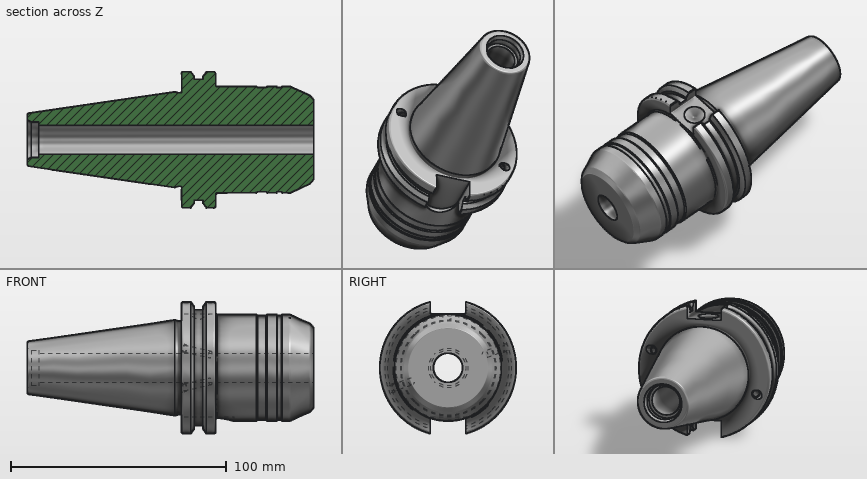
import cadquery as cq
import math

total_length = 132.8

gauge_diameter = 44.5
taper_length = 68.4
taper_ratio = 7 / 24
shank_end_fillet = 1.0
neck_diameter = 43.5
neck_step_length = 1.5
neck_root_fillet = 0.4

flange_diameter = 63.3
flange_start = 71.4
flange_width = 15.9
flange_edge_fillet = 1.0
groove_floor_diameter = 56.2
groove_floor_width = 4.0
groove_mouth_width = 7.2
groove_flank_depth = 2.3

body_diameter = 49.5
band_diameter = 48.5
bands = [(106.1, 111.2, 0.7), (115.5, 118.0, 0.3)]
body_root_fillet = 0.7
nose_start = 121.6
nose_end = 130.9
nose_end_diameter = 41.2
face_diameter = 36.9
nose_fillet = 1.3
face_edge_fillet = 0.5

bore_diameter = 13.4
counterbore_diameter = 16.3
counterbore_depth = 5.3
mouth_diameter = 18.2
mouth_depth = 2.0

slot_width = 16.3
slot_mouth_chamfer = 0.4
top_slot_floor_fillet = 0.4
top_slot_floor = 25.0
bottom_slot_floor = 22.6
bottom_slot_end = 95.6
dimple_diameter = 9.5
dimple_point_angle = 118

coolant_circle_radius = 27.1
coolant_angle = 20
coolant_tilt = 34
coolant_entry_diameter = 4.0
coolant_entry_depth = 1.7
coolant_diameter = 3.2
coolant_depth = 15.9

flange_end = flange_start + flange_width
flange_middle = flange_start + flange_width / 2


def revolve_about_x(points):
    """Solid of revolution about X from (x, radius) points."""
    return cq.Workplane("XY").polyline(points).close().revolve(360, (0, 0, 0), (1, 0, 0))


def circle_at(x):
    """Selector for the circular edges lying in the plane at x."""
    margin = 0.01
    reach = flange_diameter
    return cq.selectors.BoxSelector((x - margin, -reach, -reach), (x + margin, reach, reach))


def make_shank():
    gauge_radius = gauge_diameter / 2
    small_radius = gauge_radius - taper_length * taper_ratio / 2
    neck_radius = neck_diameter / 2
    shank = revolve_about_x([
        (0, 0),
        (0, small_radius),
        (taper_length, gauge_radius),
        (taper_length + neck_step_length, neck_radius),
        (flange_middle, neck_radius),
        (flange_middle, 0),
    ])
    return shank.faces("<X").edges().fillet(shank_end_fillet)


def make_flange():
    radius = flange_diameter / 2
    disc = cq.Workplane("YZ", origin=(flange_start, 0, 0)).circle(radius).extrude(flange_width)
    disc = disc.faces("<X or >X").edges().fillet(flange_edge_fillet)
    flank_radius = radius - groove_flank_depth
    floor_radius = groove_floor_diameter / 2
    half_mouth = groove_mouth_width / 2
    half_floor = groove_floor_width / 2
    outside_radius = radius + groove_flank_depth
    groove = revolve_about_x([
        (flange_middle - half_mouth, outside_radius),
        (flange_middle - half_mouth, radius),
        (flange_middle - half_floor, flank_radius),
        (flange_middle - half_floor, floor_radius),
        (flange_middle + half_floor, floor_radius),
        (flange_middle + half_floor, flank_radius),
        (flange_middle + half_mouth, radius),
        (flange_middle + half_mouth, outside_radius),
    ])
    return disc.cut(groove)


def make_body():
    radius = body_diameter / 2
    band_radius = band_diameter / 2
    root = body_root_fillet
    root_dip = root * (1 - math.sqrt(0.5))
    profile = (
        cq.Workplane("XY")
        .moveTo(flange_middle, 0)
        .lineTo(flange_middle, radius + root)
        .lineTo(flange_end, radius + root)
        .threePointArc((flange_end + root_dip, radius + root_dip), (flange_end + root, radius))
    )
    for start, end, edge_chamfer in bands:
        profile = (
            profile.lineTo(start, radius)
            .lineTo(start + edge_chamfer, band_radius)
            .lineTo(end - edge_chamfer, band_radius)
            .lineTo(end, radius)
        )
    profile = (
        profile.lineTo(nose_start, radius)
        .lineTo(nose_end, nose_end_diameter / 2)
        .lineTo(total_length, face_diameter / 2)
        .lineTo(total_length, 0)
        .close()
    )
    body = profile.revolve(360, (0, 0, 0), (1, 0, 0))
    body = body.edges(circle_at(nose_start)).fillet(nose_fillet)
    body = body.edges(circle_at(nose_end)).fillet(nose_fillet)
    return body.faces(">X").edges().fillet(face_edge_fillet)


def make_bore():
    counterbore_radius = counterbore_diameter / 2
    bore_radius = bore_diameter / 2
    return revolve_about_x([
        (0, 0),
        (0, mouth_diameter / 2),
        (mouth_depth, counterbore_radius),
        (counterbore_depth, counterbore_radius),
        (counterbore_depth, bore_radius),
        (total_length, bore_radius),
        (total_length, 0),
    ])


def make_top_slot():
    """Slot cut straight across the flange and the fillet behind it."""
    length = flange_width + body_root_fillet
    return (
        cq.Workplane("XY", origin=(flange_start, 0, top_slot_floor))
        .rect(2 * length, slot_width)
        .extrude(flange_diameter / 2)
        .edges("|X and <Z")
        .fillet(top_slot_floor_fillet)
    )


def make_bottom_slot():
    """Slot open at the flange face, with a half-round end running into the body."""
    half_width = slot_width / 2
    arc_start = bottom_slot_end - half_width
    return (
        cq.Workplane("XY", origin=(0, 0, -bottom_slot_floor))
        .moveTo(flange_start, -half_width)
        .lineTo(arc_start, -half_width)
        .threePointArc((bottom_slot_end, 0), (arc_start, half_width))
        .lineTo(flange_start, half_width)
        .close()
        .extrude(-flange_diameter / 2)
    )


def make_slot_mouths():
    """Flared prisms that chamfer the outer edges of both slots."""
    half_width = slot_width / 2
    edge_height = math.sqrt((flange_diameter / 2) ** 2 - half_width ** 2)
    flare_start = edge_height - slot_mouth_chamfer
    flare_height = 3 * slot_mouth_chamfer
    mouth = (
        cq.Workplane("YZ", origin=(flange_start, 0, 0))
        .moveTo(-half_width, flare_start)
        .lineTo(half_width, flare_start)
        .lineTo(half_width + flare_height, flare_start + flare_height)
        .lineTo(-half_width - flare_height, flare_start + flare_height)
        .close()
        .extrude(flange_width)
    )
    return mouth.union(mouth.mirror("XY"))


def make_dimple():
    """Conical dimple in the floor of the top slot."""
    radius = dimple_diameter / 2
    depth = radius / math.tan(math.radians(dimple_point_angle / 2))
    floor_center = cq.Vector(flange_middle, 0, top_slot_floor)
    return cq.Workplane(cq.Solid.makeCone(radius, 0, depth, floor_center, cq.Vector(0, 0, -1)))


def make_coolant_hole(angle):
    """Stepped hole in the flange face, at an angle about X measured from +Y."""
    tilt = math.radians(coolant_tilt)
    turn = math.radians(angle)
    outward = cq.Vector(0, math.cos(turn), math.sin(turn))
    direction = cq.Vector(math.cos(tilt), 0, 0) - outward * math.sin(tilt)
    center = cq.Vector(flange_start, 0, 0) + outward * coolant_circle_radius
    lead = coolant_entry_diameter
    start = center - direction * lead
    entry_length = lead + coolant_entry_depth
    entry = cq.Solid.makeCylinder(coolant_entry_diameter / 2, entry_length, start, direction)
    drill = cq.Solid.makeCylinder(coolant_diameter / 2, coolant_depth, center, direction)
    return cq.Workplane(entry).union(cq.Workplane(drill))


def make_shank_with_flange():
    """Shank and flange, with a fillet where the neck meets the flange."""
    joined = make_shank().union(make_flange())
    face_circles = joined.edges(circle_at(flange_start)).edges("%CIRCLE")
    neck_root = face_circles.edges(cq.selectors.RadiusNthSelector(0))
    return neck_root.fillet(neck_root_fillet)


result = make_shank_with_flange().union(make_body())
result = result.cut(make_bore())
result = result.cut(make_top_slot()).cut(make_bottom_slot()).cut(make_slot_mouths())
result = result.cut(make_dimple())
for hole_angle in (coolant_angle, coolant_angle + 180):
    result = result.cut(make_coolant_hole(hole_angle))